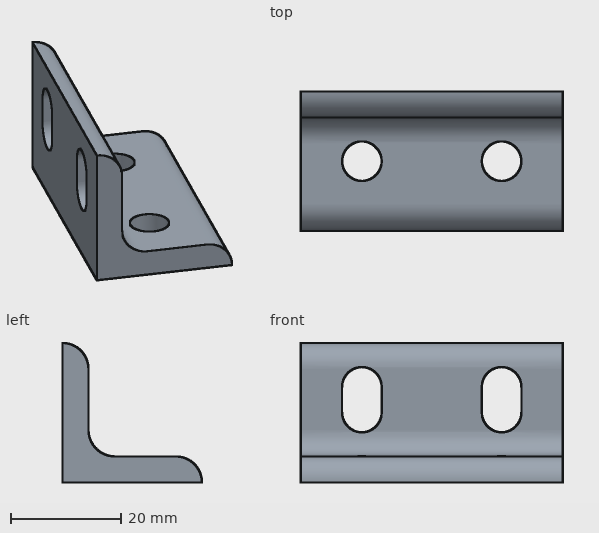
import cadquery as cq

length = 47.6
leg = 25.4
thickness = 4.75
inner_radius = 4.75
tip_radius = thickness

hole_spacing = 25.4
hole_diameter = 7.15
hole_from_back = leg / 2
slot_length = 11.8
slot_height = 15.05
hole_positions = [-hole_spacing / 2, hole_spacing / 2]

back = leg / 2
front = -leg / 2
wall_front = back - thickness


def angle_body():
    """L-shaped section with rounded tips and a filleted inside corner."""
    section = (
        cq.Workplane("YZ")
        .moveTo(back, 0)
        .lineTo(back, leg)
        .radiusArc((wall_front, leg - tip_radius), -tip_radius)
        .lineTo(wall_front, thickness + inner_radius)
        .radiusArc((wall_front - inner_radius, thickness), inner_radius)
        .lineTo(front + tip_radius, thickness)
        .radiusArc((front, 0), -tip_radius)
        .close()
    )
    return section.extrude(length / 2, both=True)


def base_holes():
    """Round holes through the horizontal leg."""
    centres = [(x, back - hole_from_back) for x in hole_positions]
    return cq.Workplane("XY").pushPoints(centres).circle(hole_diameter / 2).extrude(leg)


def wall_slots():
    """Vertical slots through the upright leg."""
    centres = [(x, slot_height) for x in hole_positions]
    return (
        cq.Workplane("XZ", origin=(0, back, 0))
        .pushPoints(centres)
        .slot2D(slot_length, hole_diameter, 90)
        .extrude(leg)
    )


result = angle_body().cut(base_holes()).cut(wall_slots())